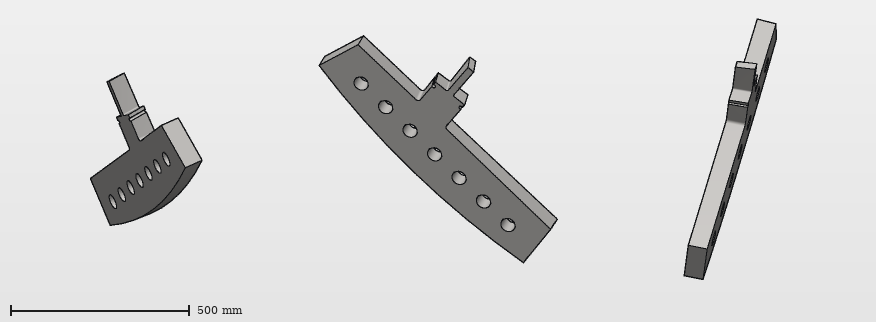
import cadquery as cq
import math

FRONT_NORMAL = (0.166, -0.966, -0.198)
ARM_DIRECTION = (0.79, 0.01, 0.61)
THICKNESS = 55.0

LEFT_TOP_X = -377.0
LEFT_TOP_FRONT_Y = 93.0
LEFT_LIFT = 6.0
LEFT_BOTTOM_X = -397.5
LEFT_BOTTOM_FRONT_Y = -48.5
RIGHT_TOP = (377.0, 85.0)
RIGHT_BOTTOM = (405.5, -53.0)
BELLY_POINT = (31.0, -89.5)
ROOT_Y = 87.5
ROOT_RADIUS = 8.5

STEM_TILT_FRONT = 8.8
STEM_TILT_BACK = 6.7
STEM_CENTER = 79.0
STEM_WIDTH = 104.0
STEM_TOP = 190.5
TAB_WIDTH = 20.5
TAB_TOP = 295.0
TAB_ROOT_RADIUS = 4.0
NOTCH_RADIUS = 4.0
NOTCH_HEIGHT = 176.0

HOLE_COUNT = 7
HOLE_PITCH = 96.0
HOLE_DIAMETER = 41.0


def stem_half(side, tilt):
    """Return one side of the stem, from arm to tab tip, as a list of points."""
    sin_tilt = math.sin(tilt)
    cos_tilt = math.cos(tilt)

    def at(distance, height):
        across = STEM_CENTER + side * distance
        return (across * cos_tilt + height * sin_tilt, height * cos_tilt - across * sin_tilt)

    wall = STEM_WIDTH / 2
    tab_wall = TAB_WIDTH / 2

    center_across = STEM_CENTER + side * (wall + ROOT_RADIUS)
    center_height = (ROOT_Y + ROOT_RADIUS + center_across * sin_tilt) / cos_tilt
    center_x, center_y = at(wall + ROOT_RADIUS, center_height)
    mid_x = -side * cos_tilt
    mid_y = side * sin_tilt - 1
    reach = ROOT_RADIUS / math.hypot(mid_x, mid_y)
    root_middle = (center_x + reach * mid_x, center_y + reach * mid_y)

    tab_middle = TAB_ROOT_RADIUS * (1 - math.sqrt(0.5))
    notch_depth = 2 * NOTCH_RADIUS
    notch_low = NOTCH_HEIGHT - NOTCH_RADIUS
    notch_high = NOTCH_HEIGHT + NOTCH_RADIUS
    return [
        (center_x, ROOT_Y), root_middle, at(wall, center_height),
        at(wall, notch_low), at(wall - NOTCH_RADIUS, notch_low),
        at(wall - notch_depth, NOTCH_HEIGHT), at(wall - NOTCH_RADIUS, notch_high),
        at(wall, notch_high), at(wall, STEM_TOP),
        at(tab_wall + TAB_ROOT_RADIUS, STEM_TOP),
        at(tab_wall + tab_middle, STEM_TOP + tab_middle),
        at(tab_wall, STEM_TOP + TAB_ROOT_RADIUS), at(tab_wall, TAB_TOP),
    ]


ARC_MIDDLES = (1, 5, 10)


def trace(sketch, points, arc_middles):
    """Draw lines through the points, with an arc through each listed middle point."""
    for index in range(1, len(points)):
        if index in arc_middles:
            sketch = sketch.threePointArc(points[index], points[index + 1])
        elif index - 1 not in arc_middles:
            sketch = sketch.lineTo(*points[index])
    return sketch


def face_outline(plane, tilt_degrees, left_drop):
    """Return the closed plate outline on one of its two broad faces."""
    tilt = math.radians(tilt_degrees)
    left_half = stem_half(-1, tilt)
    right_half = stem_half(1, tilt)[::-1]
    right_middles = [len(right_half) - 1 - index for index in ARC_MIDDLES]
    left_top = (LEFT_TOP_X, LEFT_TOP_FRONT_Y - left_drop)
    left_bottom = (LEFT_BOTTOM_X, LEFT_BOTTOM_FRONT_Y - left_drop)

    sketch = cq.Workplane(plane).moveTo(*left_top).lineTo(*left_half[0])
    sketch = trace(sketch, left_half, ARC_MIDDLES).lineTo(*right_half[0])
    sketch = trace(sketch, right_half, right_middles)
    sketch = sketch.lineTo(*RIGHT_TOP).lineTo(*RIGHT_BOTTOM)
    return sketch.threePointArc(BELLY_POINT, left_bottom).close().val()


front_plane = cq.Plane(origin=(0, 0, 0), xDir=ARM_DIRECTION, normal=FRONT_NORMAL)
back_plane = cq.Plane(
    origin=front_plane.toWorldCoords((0, 0, -THICKNESS)).toTuple(),
    xDir=ARM_DIRECTION,
    normal=FRONT_NORMAL,
)
back_outline = face_outline(back_plane, STEM_TILT_BACK, LEFT_LIFT)
front_outline = face_outline(front_plane, STEM_TILT_FRONT, 0)
plate = cq.Workplane(cq.Solid.makeLoft([back_outline, front_outline], True))

holes = (
    cq.Workplane(back_plane)
    .rarray(HOLE_PITCH, 7, HOLE_COUNT, 1)
    .circle(HOLE_DIAMETER / 2)
    .extrude(THICKNESS)
)
result = plate.cut(holes)